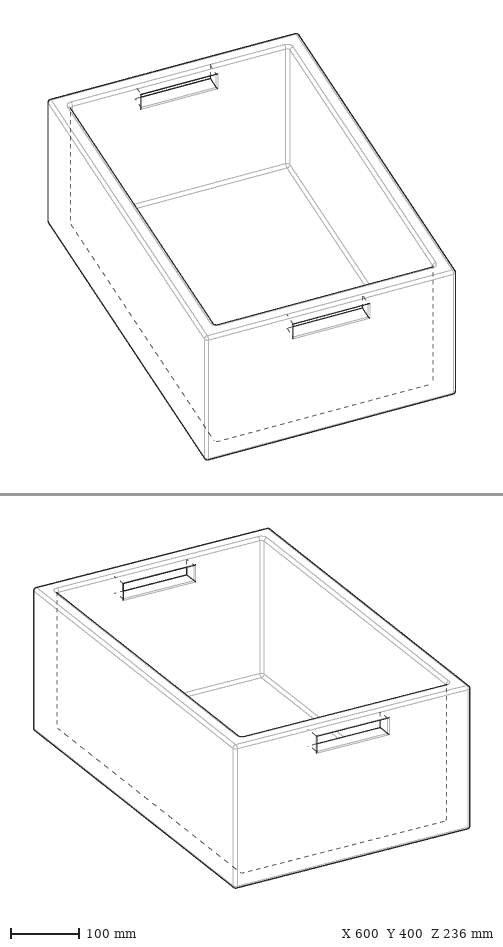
import cadquery as cq

length = 600.0
width = 400.0
height = 236.0

wall = 25.0
floor = 8.0
edge_radius = 5.0

slot_width = 120.0
slot_height = 25.0
slot_depth_to_center = 31.0
slot_edge_radius = 2.0


def make_outer_block():
    """Solid block standing on Z = 0, with every outer edge rounded."""
    block = cq.Workplane("XY").box(length, width, height, centered=(True, True, False))
    return block.edges().fillet(edge_radius)


def make_cavity():
    """Storage space, rounded at its vertical corners and around the floor."""
    cavity = (
        cq.Workplane("XY")
        .workplane(offset=floor)
        .rect(length - 2 * wall, width - 2 * wall)
        .extrude(height - floor)
    )
    return cavity.edges("|Z or <Z").fillet(edge_radius)


def round_rim(crate):
    """Round the edge where the cavity meets the top rim."""
    rim_box = cq.selectors.BoxSelector(
        (-length / 2 + wall / 2, -width / 2 + wall / 2, height - edge_radius / 2),
        (length / 2 - wall / 2, width / 2 - wall / 2, height + edge_radius / 2),
    )
    return crate.edges(rim_box).fillet(edge_radius)


def cut_hand_slots(crate):
    """Cut a slot through both end walls and round its mouths, inside and out."""
    slot_z = height - slot_depth_to_center
    slot = cq.Workplane("XY").box(length, slot_width, slot_height).translate((0, 0, slot_z))
    crate = crate.cut(slot)
    mouth_box = cq.selectors.BoxSelector(
        (-length, -slot_width / 2 - slot_edge_radius, slot_z - slot_height / 2 - slot_edge_radius),
        (length, slot_width / 2 + slot_edge_radius, slot_z + slot_height / 2 + slot_edge_radius),
    )
    return crate.edges(mouth_box).edges("|Y or |Z").fillet(slot_edge_radius)


crate = make_outer_block().cut(make_cavity())
crate = round_rim(crate)
result = cut_hand_slots(crate)